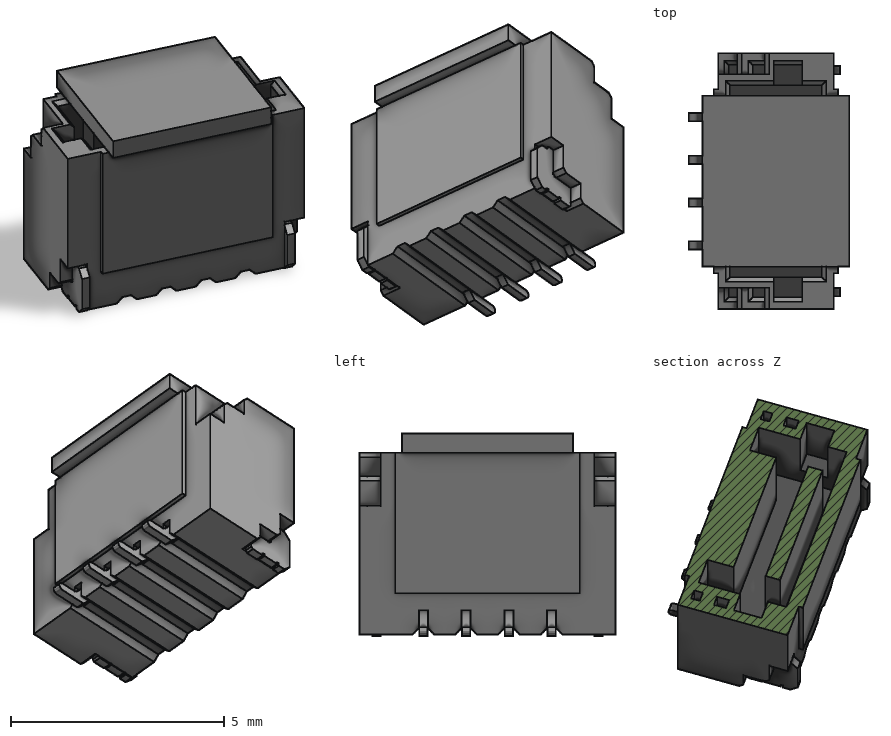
import cadquery as cq
import math


LENGTH_Y = 6.0
BODY_X = 2.71
BODY_BOTTOM = 0.035
BODY_TOP = 4.295
LEAD_IN = 0.1

PANEL_RISE = 0.1
PANEL_Y = 4.32
PANEL_BOTTOM = 1.01

CAP_X = 3.445
CAP_Y = 4.01
CAP_THICKNESS = 0.455

CAVITY_X = 2.36
CAVITY_Y = 4.705
CAVITY_FLOOR = PANEL_BOTTOM

RIB_HALF_Y = 1.6
BACK_RIB_INNER_X = -0.43
TONGUE_LEFT, TONGUE_RIGHT = 0.35, 0.715

END_NOTCH_DEPTH = 0.5
END_WALL = 0.175
END_FLOOR = 1.5
NOTCH_WIDE_X, NOTCH_WIDE_Z = -0.26, 3.745
NOTCH_DEEP_X, NOTCH_DEEP_Z = -0.905, 3.055
POCKET_WIDE_X = 0.39
POCKET_DEEP_X = 0.305
WINDOW_LEFT, WINDOW_RIGHT = -0.055, 0.62
TAB_NOTCH_LOW_X, TAB_NOTCH_LOW_Z = 0.26, 0.56
TAB_NOTCH_HIGH_X, TAB_NOTCH_HIGH_Z = 0.9, 1.29

TAB_THICKNESS = 0.2
TAB_OUTER_X = 1.505
TAB_CORNER = 0.185
TAB_TOP = 1.2
TAB_STEP_X = 1.14
TAB_STEP = 0.055
TAB_BOTTOM_CORNER = 0.05
NICK_LEFT_X, NICK_RIGHT_X = 0.63, 1.085
NICK_WIDTH = 0.055
NICK_TOP = 0.07
NICK_RELIEF = 0.02

PIN_COUNT = 4
PIN_PITCH = 1.0
PIN_WIDTH = 0.2
PIN_TIP_X = -2.045
PIN_HEIGHT = 0.21
PIN_BEND_X = -1.525
PIN_BEND_RADIUS = 0.12
PIN_SLOPE = 50.0
PIN_HEEL_X = -1.28
PIN_SLOT_WIDTH = 0.22
PIN_SLOT_DEPTH = 0.29
PIN_SLOT_TOP = 0.605
PIN_SLOT_FLARE = 0.145

HALF_X = BODY_X / 2
HALF_Y = LENGTH_Y / 2
PIN_ROOT_X = PIN_SLOT_DEPTH - HALF_X
END_INNER_Y = HALF_Y - END_NOTCH_DEPTH


def block(x0, x1, y0, y1, z0, z1):
    """Box between two opposite corners."""
    return cq.Workplane("XY").box(x1 - x0, y1 - y0, z1 - z0, centered=False).translate((x0, y0, z0))


def end_prism(points, y0, y1):
    """Prism along Y from an outline given as (x, z) points."""
    return cq.Workplane("XZ", origin=(0, y0, 0)).polyline(points).close().extrude(y0 - y1)


def both_ends(shape):
    """Shape at the +Y end together with its mirror image at the -Y end."""
    return shape.union(shape.mirror("XZ"))


def housing():
    body = block(-HALF_X, HALF_X, -HALF_Y, HALF_Y, BODY_BOTTOM, BODY_TOP)
    reach = HALF_X + PANEL_RISE
    panels = block(-reach, reach, -PANEL_Y / 2, PANEL_Y / 2, PANEL_BOTTOM, BODY_TOP)
    return body.union(panels)


def cavity():
    well = cq.Workplane("XY", origin=(0, 0, CAVITY_FLOOR))
    well = well.rect(CAVITY_X - 2 * LEAD_IN, CAVITY_Y - 2 * LEAD_IN).extrude(BODY_TOP - CAVITY_FLOOR)
    mouth = cq.Workplane("XY", origin=(0, 0, BODY_TOP)).rect(CAVITY_X, CAVITY_Y)
    return well.union(mouth.extrude(-LEAD_IN, taper=45))


def end_windows():
    """Windows that widen the cavity toward each end, with a sloped outer rim."""
    rim_y = HALF_Y - END_WALL
    outline = [
        (0, END_FLOOR),
        (rim_y - LEAD_IN, END_FLOOR),
        (rim_y - LEAD_IN, BODY_TOP - LEAD_IN),
        (rim_y, BODY_TOP),
        (0, BODY_TOP),
    ]
    width = WINDOW_RIGHT - WINDOW_LEFT
    return both_ends(cq.Workplane("YZ", origin=(WINDOW_LEFT, 0, 0)).polyline(outline).close().extrude(width))


def top_notches():
    """Two-step notches cut into the top of each end, chamfered at the outside corners."""
    outline = [
        (-HALF_X, BODY_TOP),
        (NOTCH_WIDE_X + LEAD_IN, BODY_TOP),
        (NOTCH_WIDE_X, BODY_TOP - LEAD_IN),
        (NOTCH_WIDE_X, NOTCH_WIDE_Z),
        (NOTCH_DEEP_X + LEAD_IN, NOTCH_WIDE_Z),
        (NOTCH_DEEP_X, NOTCH_WIDE_Z - LEAD_IN),
        (NOTCH_DEEP_X, NOTCH_DEEP_Z),
        (-HALF_X, NOTCH_DEEP_Z),
    ]
    return both_ends(end_prism(outline, END_INNER_Y, HALF_Y))


def step_pockets(right_x, width, top_z):
    """Pockets in one notch step, with sloped rims toward -X and toward the end."""
    left_x = right_x - width
    rim_y = HALF_Y - END_WALL
    length = rim_y - END_INNER_Y
    well = block(left_x + LEAD_IN, right_x, END_INNER_Y, rim_y - LEAD_IN, END_FLOOR, top_z)
    rim = cq.Workplane("XY", origin=(right_x, END_INNER_Y, top_z)).rect(2 * width, 2 * length)
    rim = rim.extrude(-LEAD_IN, taper=45)
    limit = block(left_x, right_x, END_INNER_Y, rim_y, top_z - LEAD_IN, top_z)
    return both_ends(well.union(rim.intersect(limit)))


def tab_notches():
    """Stepped notches low on each end that leave room for the solder tabs."""
    outline = [
        (TAB_NOTCH_LOW_X - LEAD_IN, BODY_BOTTOM),
        (TAB_NOTCH_LOW_X, BODY_BOTTOM + LEAD_IN),
        (TAB_NOTCH_LOW_X, TAB_NOTCH_LOW_Z),
        (TAB_NOTCH_HIGH_X - LEAD_IN, TAB_NOTCH_LOW_Z),
        (TAB_NOTCH_HIGH_X, TAB_NOTCH_LOW_Z + LEAD_IN),
        (TAB_NOTCH_HIGH_X, TAB_NOTCH_HIGH_Z),
        (HALF_X, TAB_NOTCH_HIGH_Z),
        (HALF_X, BODY_BOTTOM),
    ]
    return both_ends(end_prism(outline, END_INNER_Y, HALF_Y))


def solder_tabs():
    outline = [
        (TAB_NOTCH_LOW_X, TAB_BOTTOM_CORNER),
        (TAB_NOTCH_LOW_X, TAB_NOTCH_LOW_Z),
        (TAB_NOTCH_HIGH_X - TAB_BOTTOM_CORNER, TAB_NOTCH_LOW_Z),
        (TAB_NOTCH_HIGH_X, TAB_NOTCH_LOW_Z + TAB_BOTTOM_CORNER),
        (TAB_NOTCH_HIGH_X, TAB_NOTCH_HIGH_Z),
        (TAB_STEP_X - TAB_STEP, TAB_NOTCH_HIGH_Z),
        (TAB_STEP_X, TAB_TOP),
        (TAB_OUTER_X - TAB_CORNER, TAB_TOP),
        (TAB_OUTER_X, TAB_TOP - TAB_CORNER),
        (TAB_OUTER_X, TAB_CORNER),
        (TAB_OUTER_X - TAB_CORNER, 0),
        (TAB_NOTCH_LOW_X + TAB_BOTTOM_CORNER, 0),
    ]
    outer_y = END_INNER_Y + TAB_THICKNESS
    tab = end_prism(outline, END_INNER_Y, outer_y)
    tab = tab.cut(block(NICK_LEFT_X, NICK_RIGHT_X, END_INNER_Y, outer_y, 0, NICK_RELIEF))
    for nick_x in (NICK_LEFT_X, NICK_RIGHT_X):
        tab = tab.cut(block(nick_x, nick_x + NICK_WIDTH, END_INNER_Y, outer_y, 0, NICK_TOP))
    return both_ends(tab)


def pin_slot():
    """Slot in the -X face around one pin."""
    half = PIN_SLOT_WIDTH / 2
    return block(-HALF_X, PIN_ROOT_X, -half, half, BODY_BOTTOM, PIN_SLOT_TOP)


def pin_groove():
    """Flared groove across the whole underside, in line with one pin."""
    half = PIN_SLOT_WIDTH / 2
    flare_half = half + PIN_SLOT_FLARE
    outline = [
        (-flare_half, BODY_BOTTOM),
        (-half, BODY_BOTTOM + PIN_SLOT_FLARE),
        (half, BODY_BOTTOM + PIN_SLOT_FLARE),
        (flare_half, BODY_BOTTOM),
    ]
    return cq.Workplane("YZ", origin=(-HALF_X, 0, 0)).polyline(outline).close().extrude(BODY_X)


def pin():
    """Foot with a round tip that slopes up into the slot and levels off there."""
    tip_radius = PIN_HEIGHT / 2
    angle = math.radians(PIN_SLOPE)
    half_angle = angle / 2
    slope_run = (PIN_SLOT_TOP - PIN_HEIGHT) / math.tan(angle)

    bend_reach = PIN_BEND_RADIUS * math.tan(half_angle)
    bend_run = PIN_BEND_RADIUS * math.sin(angle)
    bend_rise = PIN_BEND_RADIUS * (1 - math.cos(angle))
    middle_run = PIN_BEND_RADIUS * math.sin(half_angle)
    middle_rise = PIN_BEND_RADIUS * (1 - math.cos(half_angle))

    foot_end_x = PIN_BEND_X - bend_reach
    level_x = PIN_BEND_X + slope_run + bend_reach
    upper_bend_middle = (level_x - middle_run, PIN_SLOT_TOP - middle_rise)
    upper_bend_end = (level_x - bend_run, PIN_SLOT_TOP - bend_rise)
    lower_bend_middle = (foot_end_x + middle_run, PIN_HEIGHT + middle_rise)
    lower_bend_start = (foot_end_x + bend_run, PIN_HEIGHT + bend_rise)
    outline = (
        cq.Workplane("XZ", origin=(0, -PIN_WIDTH / 2, 0))
        .moveTo(PIN_TIP_X + tip_radius, 0)
        .lineTo(PIN_HEEL_X, 0)
        .lineTo(PIN_ROOT_X, PIN_ROOT_X - PIN_HEEL_X)
        .lineTo(PIN_ROOT_X, PIN_SLOT_TOP)
        .lineTo(level_x, PIN_SLOT_TOP)
        .threePointArc(upper_bend_middle, upper_bend_end)
        .lineTo(*lower_bend_start)
        .threePointArc(lower_bend_middle, (foot_end_x, PIN_HEIGHT))
        .lineTo(PIN_TIP_X + tip_radius, PIN_HEIGHT)
        .threePointArc((PIN_TIP_X, tip_radius), (PIN_TIP_X + tip_radius, 0))
        .close()
    )
    return outline.extrude(-PIN_WIDTH)


def contact_ribs():
    """Rib along the -X cavity wall and a free-standing tongue opposite it."""
    back_rib = block(-CAVITY_X / 2, BACK_RIB_INNER_X, -RIB_HALF_Y, RIB_HALF_Y, CAVITY_FLOOR, BODY_TOP)
    tongue = block(TONGUE_LEFT, TONGUE_RIGHT, -RIB_HALF_Y, RIB_HALF_Y, CAVITY_FLOOR, BODY_TOP)
    return back_rib.union(tongue)


cap = block(-CAP_X / 2, CAP_X / 2, -CAP_Y / 2, CAP_Y / 2, BODY_TOP, BODY_TOP + CAP_THICKNESS)

result = housing().cut(cavity()).cut(end_windows()).cut(top_notches()).cut(tab_notches())
result = result.cut(step_pockets(NOTCH_WIDE_X, POCKET_WIDE_X, NOTCH_WIDE_Z))
result = result.cut(step_pockets(NOTCH_DEEP_X, POCKET_DEEP_X, NOTCH_DEEP_Z))
result = result.union(solder_tabs()).union(contact_ribs()).union(cap)

for index in range(PIN_COUNT):
    pin_y = (index - (PIN_COUNT - 1) / 2) * PIN_PITCH
    openings = pin_slot().union(pin_groove())
    result = result.cut(openings.translate((0, pin_y, 0)))
    result = result.union(pin().translate((0, pin_y, 0)))